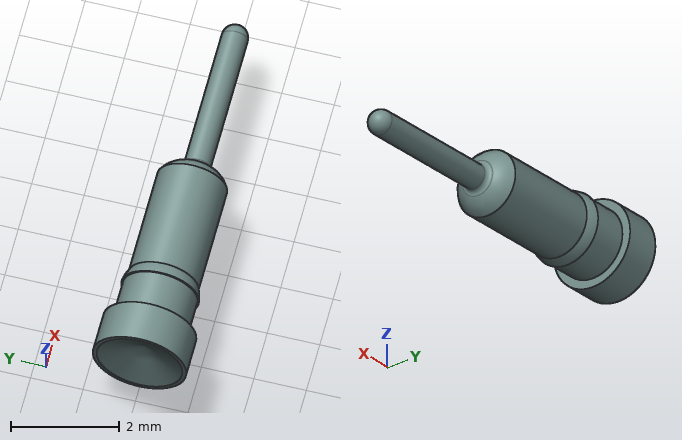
import cadquery as cq
import math

total_length = 7.37

head_radius = 0.89
head_length = 0.77
recess_radius = 0.82
recess_angle = 135.0
recess_depth = recess_radius / math.tan(math.radians(recess_angle / 2))

neck_radius = 0.715
barb_radius = 0.745
body_radius = 0.67
barb_start = 1.54
barb_length = 0.24
barb_mid_radius = 0.72
body_end = 3.935

shoulder_length = 0.28
shoulder_end_radius = 0.355
shoulder_bulge = 0.045
flare_length = 0.1
flare_hollow = 0.03
pin_radius = 0.25

barb_end = barb_start + barb_length
shoulder_end = body_end + shoulder_length
flare_end = shoulder_end + flare_length
tip_start = total_length - pin_radius


def bulged_midpoint(start, end, bulge):
    """Middle point of an arc that bows out to the left of start -> end."""
    dx = end[0] - start[0]
    dy = end[1] - start[1]
    chord = math.hypot(dx, dy)
    mid_x = (start[0] + end[0]) / 2
    mid_y = (start[1] + end[1]) / 2
    return (mid_x - bulge * dy / chord, mid_y + bulge * dx / chord)


body_corner = (body_end, body_radius)
shoulder_corner = (shoulder_end, shoulder_end_radius)
shoulder_mid = bulged_midpoint(body_corner, shoulder_corner, shoulder_bulge)
flare_corner = (flare_end, pin_radius)
flare_mid = bulged_midpoint(shoulder_corner, flare_corner, -flare_hollow)
tip_mid = (
    tip_start + pin_radius * math.cos(math.pi / 4),
    pin_radius * math.sin(math.pi / 4),
)

profile = (
    cq.Workplane("XZ")
    .moveTo(recess_depth, 0)
    .lineTo(0, recess_radius)
    .lineTo(0, head_radius)
    .lineTo(head_length, head_radius)
    .lineTo(head_length, neck_radius)
    .lineTo(barb_start, neck_radius)
    .lineTo(barb_start, barb_radius)
    .threePointArc((barb_start + barb_length / 2, barb_mid_radius), (barb_end, body_radius))
    .lineTo(*body_corner)
    .threePointArc(shoulder_mid, shoulder_corner)
    .threePointArc(flare_mid, flare_corner)
    .lineTo(tip_start, pin_radius)
    .threePointArc(tip_mid, (total_length, 0))
    .close()
)

result = profile.revolve(360, (0, 0, 0), (1, 0, 0))